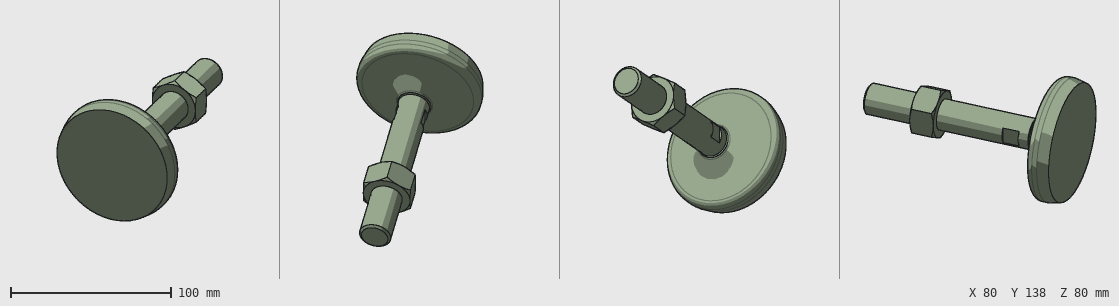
import cadquery as cq
import math

total_length = 138.0

foot_radius = 40.0
underside_radius = 38.4
taper_height = 7.5
rim_top = 10.8
rim_fillet = 4.3
shoulder_height = rim_top + rim_fillet
shoulder_radius = foot_radius - rim_fillet
flare_mid_radius = 20.8
flare_mid_height = 19.3
collar_radius = 11.6
collar_height = 24.3
foot_top_radius = 10.6
foot_top = 25.0

neck_radius = 10.0 / 2
spindle_radius = 20.0 / 2
spindle_bottom = 26.0
tip_chamfer_height = 1.2
tip_chamfer_width = 1.5

flats_width = 17.0
flats_bottom = 32.5
flats_length = 10.9

nut_width = 30.0
nut_bottom = 87.9
nut_height = 16.0
nut_chamfer_angle = 30.0


def make_foot():
    """Round foot with a tapered base, a rounded rim and a concave flare."""
    fillet_offset = rim_fillet * math.sqrt(0.5)
    fillet_mid = (shoulder_radius + fillet_offset, rim_top + fillet_offset)
    profile = (
        cq.Workplane("XY")
        .moveTo(0, 0)
        .lineTo(underside_radius, 0)
        .lineTo(foot_radius, taper_height)
        .lineTo(foot_radius, rim_top)
        .threePointArc(fillet_mid, (shoulder_radius, shoulder_height))
        .threePointArc((flare_mid_radius, flare_mid_height), (collar_radius, collar_height))
        .lineTo(foot_top_radius, foot_top)
        .lineTo(0, foot_top)
        .close()
    )
    return profile.revolve(360, (0, 0, 0), (0, 1, 0))


def make_spindle():
    """Plain rod with a narrow neck at the foot and a chamfered free end."""
    profile = (
        cq.Workplane("XY")
        .moveTo(0, collar_height)
        .lineTo(neck_radius, collar_height)
        .lineTo(neck_radius, spindle_bottom)
        .lineTo(spindle_radius, spindle_bottom)
        .lineTo(spindle_radius, total_length - tip_chamfer_height)
        .lineTo(spindle_radius - tip_chamfer_width, total_length)
        .lineTo(0, total_length)
        .close()
    )
    return profile.revolve(360, (0, 0, 0), (0, 1, 0))


def cut_wrench_flats(spindle):
    """Mill two opposite flats, facing -X and +X, near the foot."""
    flat_depth = spindle_radius - flats_width / 2
    for side in (-1, 1):
        cutter = cq.Workplane("XY").box(flat_depth, flats_length, 2 * spindle_radius).translate(
            (side * (flats_width + flat_depth) / 2, flats_bottom + flats_length / 2, 0)
        )
        spindle = spindle.cut(cutter)
    return spindle


def make_nut():
    """Hex nut with flats facing -X and +X and conical corner chamfers."""
    flat_radius = nut_width / 2
    corner_radius = flat_radius / math.cos(math.radians(30))
    chamfer_width = corner_radius - flat_radius
    chamfer_height = chamfer_width * math.tan(math.radians(nut_chamfer_angle))
    base = cq.Workplane("XZ", origin=(0, nut_bottom, 0))
    hexagon = base.transformed(rotate=(0, 0, 30)).polygon(6, 2 * corner_radius).extrude(-nut_height)
    envelope = (
        base.circle(corner_radius)
        .extrude(-nut_height)
        .faces("<Y or >Y")
        .chamfer(chamfer_height, chamfer_width)
    )
    return hexagon.intersect(envelope)


result = make_foot().union(cut_wrench_flats(make_spindle())).union(make_nut())